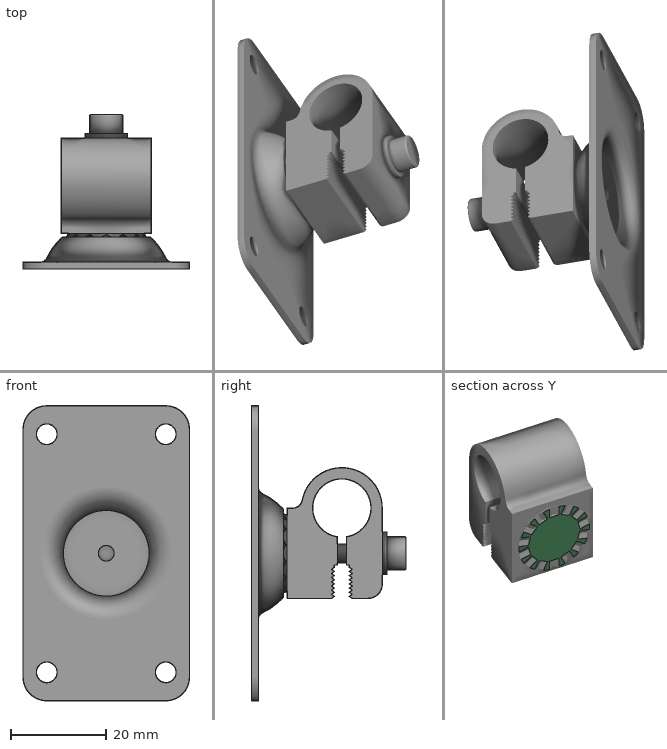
import cadquery as cq
import math


plate_width = 35.0
plate_height = 62.0
plate_thickness = 1.5
corner_radius = 5.0
hole_spacing_x = 25.0
hole_spacing_z = 50.0
hole_diameter = 4.3

dish_mouth_radius = 13.85
dish_inner_sphere_radius = 12.0
dish_outer_blend_radius = 1.5
dish_inner_blend_radius = 3.5
dish_top = 6.75
dish_floor = dish_top - plate_thickness

sphere_center_y = dish_inner_blend_radius - math.sqrt(
    (dish_inner_sphere_radius + dish_inner_blend_radius) ** 2 - dish_mouth_radius**2
)
outer_blend_center_y = plate_thickness + dish_outer_blend_radius
dish_outer_sphere_radius = (
    math.hypot(dish_mouth_radius, outer_blend_center_y - sphere_center_y) - dish_outer_blend_radius
)

clamp_width = 19.0
clamp_near_face = 7.5
clamp_length = 20.0
clamp_far_face = clamp_near_face + clamp_length
clamp_half_height = 9.5
tube_diameter = 12.2
clamp_ring_radius = 8.5
tube_y = clamp_far_face - clamp_ring_radius
tube_z = clamp_half_height
shoulder_fillet = 2.0
foot_fillet = 3.0
near_foot_fillet = 0.2

slit_width = 1.9
jaw_gap_at_tips = 3.1
jaw_gap_at_roots = 4.3
jaw_height = 7.0
jaw_tooth_count = 8
jaw_pitch = jaw_height / jaw_tooth_count
jaw_top_z = jaw_height - clamp_half_height

collar_radius_at_clamp = 8.0
collar_radius_at_dish = 8.35
collar_tooth_count = 14
collar_notch_depth = 0.5
collar_notch_width = 2.2
collar_core_radius = 6.0

screw_diameter = 4.0
head_diameter = 7.0
head_height = 4.0
head_edge_fillet = 0.4
washer_diameter = 9.0
washer_thickness = 1.0
nut_radius = 9.0
nut_face = 3.0
nut_bevel_width = 0.8
nut_bevel_height = 0.85
tapped_hole_diameter = 3.3
screw_tip_recess = 0.6


def disc(diameter, start_y, end_y):
    """Cylinder on the swivel axis between two Y positions."""
    face = cq.Workplane("XZ", origin=(0, start_y, 0))
    return face.circle(diameter / 2).extrude(start_y - end_y)


def polar_point(radius, center_u, center_v, angle):
    """Point on a circle in a flat section; the angle runs from the first axis to the second."""
    return (center_u + radius * math.cos(angle), center_v + radius * math.sin(angle))


def dome(base_y, sphere_radius, blend_radius, top_y):
    """Truncated sphere that flares through a tangent blend into the plane y = base_y."""
    blend_center_y = base_y + blend_radius
    slope = math.atan2(blend_center_y - sphere_center_y, dish_mouth_radius)
    rim_angle = math.asin((top_y - sphere_center_y) / sphere_radius)
    top_rim = polar_point(sphere_radius, 0, sphere_center_y, rim_angle)
    sphere_middle = polar_point(sphere_radius, 0, sphere_center_y, (slope + rim_angle) / 2)
    tangent_point = polar_point(sphere_radius, 0, sphere_center_y, slope)
    blend_start = math.pi + slope
    blend_end = 1.5 * math.pi
    blend_middle = polar_point(
        blend_radius, dish_mouth_radius, blend_center_y, (blend_start + blend_end) / 2
    )
    section = (
        cq.Workplane("XY")
        .moveTo(0, top_y)
        .lineTo(*top_rim)
        .threePointArc(sphere_middle, tangent_point)
        .threePointArc(blend_middle, (dish_mouth_radius, base_y))
        .lineTo(0, base_y)
        .close()
    )
    return section.revolve(360, (0, 0, 0), (0, 1, 0))


def make_plate():
    """Sheet plate with four fixing holes, a pressed dish and a screw hole."""
    sheet = cq.Workplane("XZ").rect(plate_width, plate_height).extrude(-plate_thickness)
    sheet = sheet.edges("|Y").fillet(corner_radius)
    fixing_holes = (
        cq.Workplane("XZ")
        .rect(hole_spacing_x, hole_spacing_z, forConstruction=True)
        .vertices()
        .circle(hole_diameter / 2)
        .extrude(-plate_thickness)
    )
    outside = dome(plate_thickness, dish_outer_sphere_radius, dish_outer_blend_radius, dish_top)
    inside = dome(0, dish_inner_sphere_radius, dish_inner_blend_radius, dish_floor)
    screw_hole = disc(screw_diameter, 0, dish_top)
    return sheet.cut(fixing_holes).union(outside).cut(inside).cut(screw_hole)


def jaw_opening():
    """Slit below the tube bore, widened to a toothed gap between the jaws."""
    slit = cq.Workplane("XY").box(clamp_width, slit_width, tube_z + clamp_half_height)
    slit = slit.translate((0, tube_y, (tube_z - clamp_half_height) / 2))

    half_tip = jaw_gap_at_tips / 2
    half_root = jaw_gap_at_roots / 2
    flank = [(half_tip, jaw_top_z)]
    for tooth in range(jaw_tooth_count):
        tip_z = jaw_top_z - (tooth + 0.5) * jaw_pitch
        flank.append((half_tip, tip_z))
        flank.append((half_root, tip_z - jaw_pitch / 2))
    right_side = [(tube_y + offset, z) for offset, z in flank]
    left_side = [(tube_y - offset, z) for offset, z in reversed(flank)]
    gap = cq.Workplane("YZ").polyline(right_side + left_side).close()
    return slit.union(gap.extrude(clamp_width / 2, both=True))


def clamp_block():
    """Block with a rounded top around the tube bore, a fillet at the shoulder and a split foot."""
    blend_z = tube_z + shoulder_fillet
    blend_reach = math.sqrt((clamp_ring_radius + shoulder_fillet) ** 2 - shoulder_fillet**2)
    blend_y = tube_y - blend_reach
    ring_angle = math.atan2(shoulder_fillet, -blend_reach)
    ring_end = polar_point(clamp_ring_radius, tube_y, tube_z, ring_angle)
    blend_middle = polar_point(
        shoulder_fillet, blend_y, blend_z, (ring_angle - 1.5 * math.pi) / 2
    )
    outline = (
        cq.Workplane("YZ")
        .moveTo(clamp_near_face, -clamp_half_height)
        .lineTo(clamp_far_face, -clamp_half_height)
        .lineTo(clamp_far_face, tube_z)
        .threePointArc((tube_y, tube_z + clamp_ring_radius), ring_end)
        .threePointArc(blend_middle, (blend_y, tube_z))
        .lineTo(clamp_near_face, tube_z)
        .close()
    )
    block = outline.extrude(clamp_width / 2, both=True)
    block = block.edges("|X and >Y and <Z").fillet(foot_fillet)
    block = block.edges("|X and <Y and <Z").fillet(near_foot_fillet)
    bore = (
        cq.Workplane("YZ")
        .center(tube_y, tube_z)
        .circle(tube_diameter / 2)
        .extrude(clamp_width / 2, both=True)
    )
    return block.cut(bore).cut(jaw_opening())


def toothed_collar():
    """Short cone under the clamp with radial V notches on the side that rests on the dish."""
    collar = (
        cq.Workplane("XZ", origin=(0, dish_top, 0))
        .circle(collar_radius_at_dish)
        .workplane(offset=dish_top - clamp_near_face)
        .circle(collar_radius_at_clamp)
        .loft()
    )
    notch = (
        cq.Workplane("XY", origin=(0, 0, collar_core_radius))
        .moveTo(-collar_notch_width / 2, dish_top)
        .lineTo(collar_notch_width / 2, dish_top)
        .lineTo(0, dish_top + collar_notch_depth)
        .close()
        .extrude(collar_radius_at_dish)
    )
    for index in range(collar_tooth_count):
        angle = 360 / collar_tooth_count * index
        collar = collar.cut(notch.rotate((0, 0, 0), (0, 1, 0), angle))
    return collar


def nut_disc():
    """Disc inside the dish, beveled at the back to clear the dish wall."""
    section = (
        cq.Workplane("XY")
        .moveTo(0, nut_face)
        .lineTo(nut_radius, nut_face)
        .lineTo(nut_radius, dish_floor - nut_bevel_height)
        .lineTo(nut_radius - nut_bevel_width, dish_floor)
        .lineTo(0, dish_floor)
        .close()
    )
    return section.revolve(360, (0, 0, 0), (0, 1, 0))


def make_clamp():
    """Clamp block with its collar, screw, washer and nut disc as one solid."""
    washer_face = clamp_far_face + washer_thickness
    head_face = washer_face + head_height
    tip_y = nut_face + screw_tip_recess
    washer = disc(washer_diameter, clamp_far_face, washer_face)
    head = disc(head_diameter, washer_face, head_face).faces(">Y").edges().fillet(head_edge_fillet)
    shank = disc(screw_diameter, tip_y, washer_face)
    tapped_hole = disc(tapped_hole_diameter, nut_face, tip_y)
    clamp = clamp_block().union(toothed_collar()).union(nut_disc())
    return clamp.union(shank).union(washer).union(head).cut(tapped_hole)


plate = make_plate()
clamp = make_clamp()

result = cq.Compound.makeCompound([plate.val(), clamp.val()])